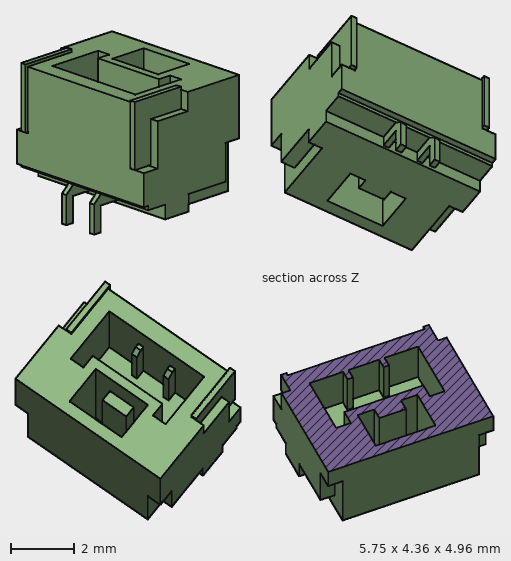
import cadquery as cq


WIDTH = 5.75
DEPTH = 4.25
HEIGHT = 4.05
HALF_WIDTH = WIDTH / 2

NOSE_DEPTH = 0.2
NOSE_BOTTOM = 0.65
RELIEF_DEPTH = 0.95
RELIEF_HEIGHT = 0.5

REAR_RECESS_BAND = 0.6
REAR_RECESS_HEIGHT = 1.905
REAR_RECESS_LENGTH = 2.255
REAR_RECESS_INSET = 0.5

FRONT_WALL = 0.605
POCKET_WIDTH = 3.76
POCKET_LENGTH = 1.54
POCKET_DEPTH = 2.93
EAR_SIZE = 0.5
POCKET_FLOOR = HEIGHT - POCKET_DEPTH
POCKET_BACK = FRONT_WALL + POCKET_LENGTH

WEB = 0.305
WINDOW_WIDTH = 2.065
WINDOW_LENGTH = 1.39
WINDOW_FRONT = POCKET_BACK + WEB
TAB_WIDTH = 0.945
TAB_LENGTH = 0.395
TAB_DROP = 1.0
TAB_HEIGHT = HEIGHT - TAB_DROP

PLATE_THICKNESS = 0.2
PLATE_INSET = 0.3
PLATE_PROUD = 0.105
PLATE_HEIGHT = 2.3
SIDE_RECESS_LENGTH = 1.955
SIDE_RECESS_BAND = 0.61
SIDE_RECESS_SHELF = 3.4
SIDE_RECESS_BOTTOM = 1.8
SIDE_RECESS_INSET = PLATE_INSET + PLATE_THICKNESS
PLATE_TOP = HEIGHT + PLATE_PROUD
PLATE_BOTTOM = PLATE_TOP - PLATE_HEIGHT

LEAD_PITCH = 1.255
LEAD_WIDTH = 0.2
LEAD_TAIL = 0.8
LEAD_UNDERSIDE = 0.11
LEAD_BEND_DROP = 0.28
BLADE_TIP = 3.05
TIP_CHAMFER = 0.2


def box(x_min, x_max, y_min, y_max, z_min, z_max):
    """Box given by its limits along each axis."""
    size = (x_max - x_min, y_max - y_min, z_max - z_min)
    return cq.Workplane("XY").box(*size, centered=False).translate((x_min, y_min, z_min))


def centred_box(width, y_min, y_max, z_min, z_max):
    """Box centred on the symmetry plane."""
    return box(-width / 2, width / 2, y_min, y_max, z_min, z_max)


def extrude_profile(points, x_start, thickness):
    """Extrude a closed (Y, Z) outline along +X from x_start."""
    return cq.Workplane("YZ", origin=(x_start, 0, 0)).polyline(points).close().extrude(thickness)


def both_sides(shape):
    """The shape together with its mirror image across the symmetry plane."""
    return shape.union(shape.mirror("YZ"))


def housing_block():
    profile = [
        (0, NOSE_BOTTOM),
        (0, HEIGHT),
        (DEPTH, HEIGHT),
        (DEPTH, 0),
        (RELIEF_DEPTH, 0),
        (RELIEF_DEPTH, RELIEF_HEIGHT),
        (NOSE_DEPTH, RELIEF_HEIGHT),
        (NOSE_DEPTH, NOSE_BOTTOM),
    ]
    return extrude_profile(profile, -HALF_WIDTH, WIDTH)


def rear_recesses():
    band_front = DEPTH - REAR_RECESS_BAND
    recess_front = DEPTH - REAR_RECESS_LENGTH
    profile = [
        (DEPTH, 0),
        (DEPTH, REAR_RECESS_HEIGHT),
        (band_front, REAR_RECESS_HEIGHT),
        (band_front, REAR_RECESS_BAND),
        (recess_front, REAR_RECESS_BAND),
        (recess_front, 0),
    ]
    return both_sides(extrude_profile(profile, -HALF_WIDTH, REAR_RECESS_INSET))


def front_corner_outline(front, bottom, top):
    """Inverted L used by the side recess and by the plate standing in it."""
    return [
        (front, bottom),
        (front, top),
        (SIDE_RECESS_LENGTH, top),
        (SIDE_RECESS_LENGTH, SIDE_RECESS_SHELF),
        (SIDE_RECESS_BAND, SIDE_RECESS_SHELF),
        (SIDE_RECESS_BAND, bottom),
    ]


def side_recesses():
    profile = front_corner_outline(0, SIDE_RECESS_BOTTOM, HEIGHT)
    return both_sides(extrude_profile(profile, -HALF_WIDTH, SIDE_RECESS_INSET))


def retention_plates():
    profile = front_corner_outline(-PLATE_PROUD, PLATE_BOTTOM, PLATE_TOP)
    return both_sides(extrude_profile(profile, -HALF_WIDTH + PLATE_INSET, PLATE_THICKNESS))


def mating_pocket():
    main = centred_box(POCKET_WIDTH, FRONT_WALL, POCKET_BACK, POCKET_FLOOR, HEIGHT)
    ear_outside = -POCKET_WIDTH / 2
    ear = box(
        ear_outside, ear_outside + EAR_SIZE, POCKET_BACK, POCKET_BACK + EAR_SIZE, POCKET_FLOOR, HEIGHT
    )
    return main.union(both_sides(ear))


def latch_window():
    return centred_box(WINDOW_WIDTH, WINDOW_FRONT, WINDOW_FRONT + WINDOW_LENGTH, 0, HEIGHT)


def latch_tab():
    return centred_box(TAB_WIDTH, WINDOW_FRONT, WINDOW_FRONT + TAB_LENGTH, 0, TAB_HEIGHT)


def lead(x_centre):
    """Contact blade rising along the front pocket wall, bent forward and then down."""
    profile = [
        (FRONT_WALL, BLADE_TIP),
        (RELIEF_DEPTH - TIP_CHAMFER, BLADE_TIP),
        (RELIEF_DEPTH, BLADE_TIP - TIP_CHAMFER),
        (RELIEF_DEPTH, LEAD_UNDERSIDE),
        (NOSE_DEPTH, LEAD_UNDERSIDE),
        (NOSE_DEPTH, -LEAD_TAIL),
        (-PLATE_PROUD, -LEAD_TAIL),
        (-PLATE_PROUD, RELIEF_HEIGHT - LEAD_BEND_DROP),
        (NOSE_DEPTH, RELIEF_HEIGHT),
        (FRONT_WALL, RELIEF_HEIGHT),
    ]
    return extrude_profile(profile, x_centre - LEAD_WIDTH / 2, LEAD_WIDTH)


result = housing_block()
for cut in (rear_recesses(), side_recesses(), mating_pocket(), latch_window()):
    result = result.cut(cut)
result = result.union(latch_tab()).union(retention_plates())
for side in (-1, 1):
    result = result.union(lead(side * LEAD_PITCH / 2))